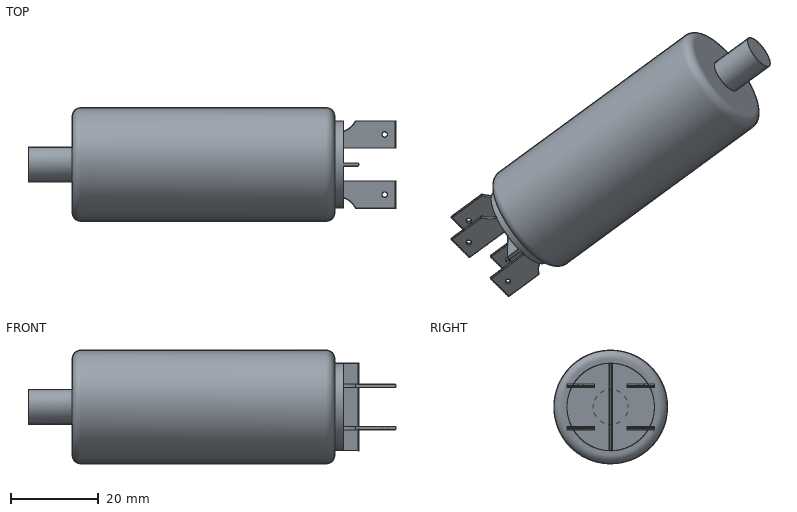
import cadquery as cq

stud_diameter = 8.0
stud_length = 10.0
can_diameter = 26.0
can_length = 60.0
can_rim_radius = 2.0
base_diameter = 20.0
base_height = 2.0

sheet_thickness = 0.8
tip_chamfer = 0.25
terminal_length = 12.0
terminal_width = 6.25
terminal_height = 4.8
notch_length = 2.75
notch_depth = 2.4
notch_sag = 0.35
terminal_hole_diameter = 1.2
terminal_hole_to_tip = 2.6
barrier_length = 3.5

can_start = stud_length
can_end = can_start + can_length
base_face = can_end + base_height
terminal_tip = base_face + terminal_length
outer_edge = base_diameter / 2
inner_edge = outer_edge - terminal_width


def cylinder_along_x(diameter, start, length):
    return cq.Workplane("YZ", origin=(start, 0, 0)).circle(diameter / 2).extrude(length)


def make_body():
    can = cylinder_along_x(can_diameter, can_start, can_length).edges().fillet(can_rim_radius)
    stud = cylinder_along_x(stud_diameter, 0, stud_length + can_rim_radius)
    base = cylinder_along_x(base_diameter, can_end - can_rim_radius, base_height + can_rim_radius)
    return can.union(stud).union(base)


def make_terminal(height):
    """Blade on the +Y side, notched at the outer root corner and chamfered at the tip."""
    notch_start = (base_face, outer_edge - notch_depth)
    notch_end = (base_face + notch_length, outer_edge)
    blade = (
        cq.Workplane("XY", origin=(0, 0, height))
        .moveTo(base_face, inner_edge)
        .lineTo(terminal_tip, inner_edge)
        .lineTo(terminal_tip, outer_edge)
        .lineTo(*notch_end)
        .sagittaArc(notch_start, notch_sag)
        .close()
        .extrude(sheet_thickness / 2, both=True)
    )
    blade = blade.faces(">X").edges("|Y").chamfer(tip_chamfer)
    hole = (
        cq.Workplane("XY", origin=(0, 0, height))
        .center(terminal_tip - terminal_hole_to_tip, (inner_edge + outer_edge) / 2)
        .circle(terminal_hole_diameter / 2)
        .extrude(sheet_thickness, both=True)
    )
    return blade.cut(hole)


def make_barrier():
    """Upright plate across the base in the XZ plane, its ends following the base cylinder."""
    plate = cq.Workplane("XY", origin=(base_face, 0, 0)).box(
        barrier_length, sheet_thickness, base_diameter, centered=(False, True, True)
    )
    plate = plate.faces(">X").edges("|Z").chamfer(tip_chamfer)
    return plate.intersect(cylinder_along_x(base_diameter, base_face, barrier_length))


result = make_body().union(make_barrier())
for height in (-terminal_height, terminal_height):
    terminal = make_terminal(height)
    result = result.union(terminal).union(terminal.mirror("XZ"))